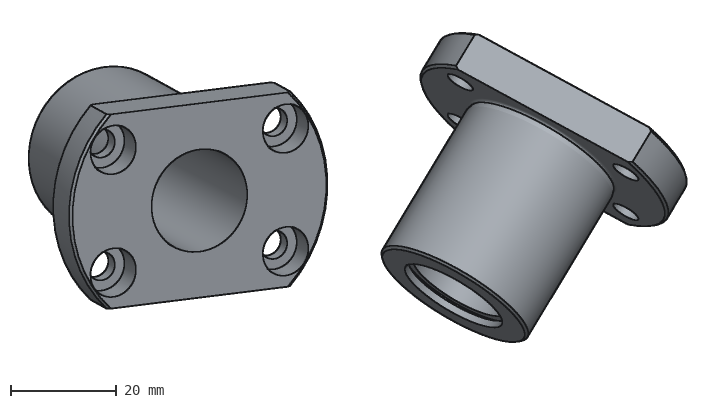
import cadquery as cq

total_length = 42.0
flange_thickness = 8.0
flange_face_x = total_length - flange_thickness

barrel_diameter = 32.0
barrel_radius = barrel_diameter / 2
edge_chamfer = 0.5

relief_depth = 0.3
relief_ramp_length = 1.1
root_fillet = 0.5

flange_diameter = 54.0
flange_height = 38.0

bore_diameter = 20.0
mouth_diameter = 21.2
mouth_length = 1.5
groove_diameter = 23.6
groove_width = 0.7

hole_diameter = 5.5
hole_counterbore_diameter = 9.5
hole_counterbore_depth = 5.1
hole_spacing_y = 36.0
hole_spacing_z = 24.0


def cylinder_along_x(diameter, start_x, length):
    return cq.Workplane("YZ").workplane(offset=start_x).circle(diameter / 2).extrude(length)


def make_flange():
    disc = cylinder_along_x(flange_diameter, flange_face_x, flange_thickness)
    disc = disc.edges("%CIRCLE").chamfer(edge_chamfer)
    flats = cq.Workplane("XY").box(2 * total_length, flange_diameter, flange_height)
    return disc.intersect(flats)


def make_barrel():
    """Revolve the barrel half-profile, including the relief, about the X axis."""
    fillet_start_x = flange_face_x - root_fillet
    ramp_start_x = fillet_start_x - relief_ramp_length
    relief_radius = barrel_radius - relief_depth
    fillet_mid_offset = root_fillet * (1 - 0.5 ** 0.5)
    profile = (
        cq.Workplane("XY")
        .lineTo(0, barrel_radius - edge_chamfer)
        .lineTo(edge_chamfer, barrel_radius)
        .lineTo(ramp_start_x, barrel_radius)
        .lineTo(fillet_start_x, relief_radius)
        .threePointArc(
            (flange_face_x - fillet_mid_offset, relief_radius + fillet_mid_offset),
            (flange_face_x, relief_radius + root_fillet),
        )
        .lineTo(flange_face_x, 0)
        .close()
    )
    return profile.revolve(360, (0, 0, 0), (1, 0, 0))


def make_bore():
    bore = cylinder_along_x(bore_diameter, 0, total_length)
    mouth = cylinder_along_x(mouth_diameter, 0, mouth_length)
    groove = cylinder_along_x(groove_diameter, mouth_length, groove_width)
    return bore.union(mouth).union(groove)


def cut_mounting_holes(body):
    """Counterbored holes at the corners of a rectangle, drilled from the end face."""
    return (
        body.faces(">X")
        .workplane(origin=(total_length, 0, 0))
        .rect(hole_spacing_y, hole_spacing_z, forConstruction=True)
        .vertices()
        .cboreHole(hole_diameter, hole_counterbore_diameter, hole_counterbore_depth)
    )


body = make_flange().union(make_barrel()).cut(make_bore())
result = cut_mounting_holes(body)